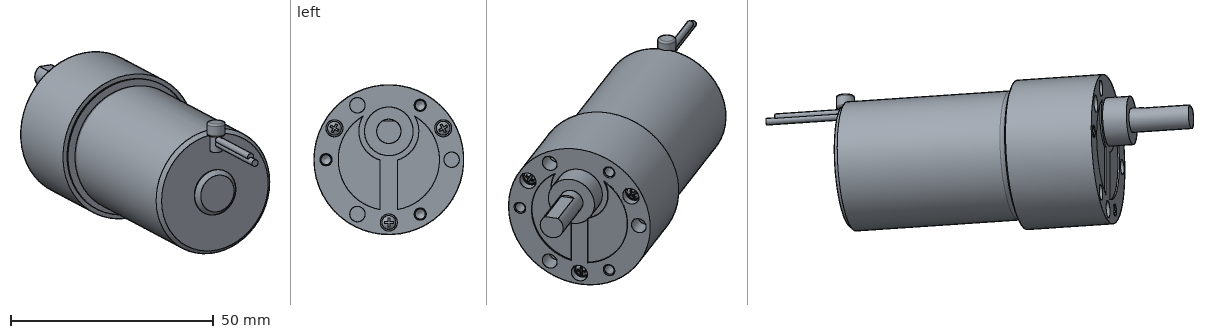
import cadquery as cq
import math

GEARBOX_RADIUS = 18.5
GEARBOX_LENGTH = 21.7
RING_RADIUS = 17.35
RING_LENGTH = 0.5
MOTOR_RADIUS = 16.0
MOTOR_LENGTH = 43.7
MOTOR_FRONT_ROUND = 1.5
MOTOR_REAR_CHAMFER = 1.0
OVERALL_LENGTH = 107.49

SHAFT_OFFSET = 7.0
SHAFT_RADIUS = 3.0
SHAFT_LENGTH = 15.0
SHAFT_FLAT_LENGTH = 12.0
SHAFT_FLAT_HEIGHT = 2.5
BOSS_RADIUS = 6.0
BOSS_LENGTH = 6.0

RECESS_RADIUS = 12.5
RECESS_DEPTH = 0.4
RECESS_LAND_RADIUS = 7.4
RECESS_RIB_WIDTH = 4.3

BOLT_CIRCLE_RADIUS = 15.5
PLAIN_HOLE_ANGLES = (60, 180, 300)
TAPPED_ANGLE_STEP = 180
SCREW_ANGLE_STEP = -30
PLAIN_HOLE_DIAMETER = 3.8
PLAIN_HOLE_DEPTH = 5.0
TAPPED_HOLE_DIAMETER = 3.0
TAPPED_BORE_DIAMETER = 2.5
TAPPED_HOLE_DEPTH = 5.0
DRILL_POINT_ANGLE = 118.0
SCREW_HOLE_DIAMETER = 4.2
SCREW_HOLE_DEPTH = 2.2
SCREW_HEAD_DIAMETER = 3.4
SCREW_HEAD_HEIGHT = 1.0
SCREW_HEAD_RIM = 0.3
CROSS_WIDTH = 0.5
CROSS_LENGTH = 2.2
CROSS_DEPTH = 0.6

COVER_RADIUS = 5.8
COVER_LENGTH = 1.3
COVER_CHAMFER = 1.1

POST_RADIUS = 1.5
POST_BOTTOM = 10.85
CAP_RADIUS = 2.25
CAP_BOTTOM = 14.9
CAP_TOP = 18.25
CAP_ROUND = 0.5
TERMINAL_PAST_MOTOR = 0.6
LEAD_RADIUS = 0.85
UPPER_LEAD_HEIGHT = 14.0
LOWER_LEAD_HEIGHT = 13.0
LEAD_STAGGER = 2.25

SHAFT_TIP = -(BOSS_LENGTH + SHAFT_LENGTH)
MOTOR_FRONT = GEARBOX_LENGTH + RING_LENGTH
MOTOR_REAR = MOTOR_FRONT + MOTOR_LENGTH
REAR_END = SHAFT_TIP + OVERALL_LENGTH


def rod(radius, start, end, y=0.0, z=0.0):
    """Cylinder parallel to X, from X = start to X = end."""
    return cq.Workplane("YZ", origin=(start, y, z)).circle(radius).extrude(end - start)


def bolt_position(angle):
    """Y and Z of a point on the bolt circle, with the angle measured from +Y toward +Z."""
    turn = math.radians(angle)
    return BOLT_CIRCLE_RADIUS * math.cos(turn), BOLT_CIRCLE_RADIUS * math.sin(turn)


def make_housing():
    gearbox = rod(GEARBOX_RADIUS, 0, GEARBOX_LENGTH)
    ring = rod(RING_RADIUS, GEARBOX_LENGTH, MOTOR_FRONT)
    motor = rod(MOTOR_RADIUS, MOTOR_FRONT, MOTOR_REAR)
    motor = motor.faces("<X").edges().fillet(MOTOR_FRONT_ROUND)
    motor = motor.faces(">X").edges().chamfer(MOTOR_REAR_CHAMFER)
    cover = rod(COVER_RADIUS, MOTOR_REAR, MOTOR_REAR + COVER_LENGTH)
    cover = cover.faces(">X").edges().chamfer(COVER_CHAMFER)
    return gearbox.union(ring).union(motor).union(cover)


def make_output_shaft():
    boss = rod(BOSS_RADIUS, -BOSS_LENGTH, 0, z=SHAFT_OFFSET)
    shaft = rod(SHAFT_RADIUS, SHAFT_TIP, -BOSS_LENGTH, z=SHAFT_OFFSET)
    flat_cut = cq.Workplane("XY", origin=(SHAFT_TIP, 0, SHAFT_OFFSET + SHAFT_FLAT_HEIGHT)).box(
        SHAFT_FLAT_LENGTH, 2 * SHAFT_RADIUS, SHAFT_RADIUS, centered=(False, True, False)
    )
    return boss.union(shaft.cut(flat_cut))


def make_face_recesses():
    disc = rod(RECESS_RADIUS, 0, RECESS_DEPTH)
    land = rod(RECESS_LAND_RADIUS, 0, RECESS_DEPTH, z=SHAFT_OFFSET)
    rib = cq.Workplane("XY", origin=(0, 0, -RECESS_RADIUS)).box(
        RECESS_DEPTH, RECESS_RIB_WIDTH, RECESS_RADIUS, centered=(False, True, False)
    )
    return disc.cut(land).cut(rib)


def make_plain_hole(angle):
    y, z = bolt_position(angle)
    return rod(PLAIN_HOLE_DIAMETER / 2, 0, PLAIN_HOLE_DEPTH, y, z)


def make_tapped_hole(angle):
    """Drilled blind bore with a pointed bottom and a chamfered mouth."""
    y, z = bolt_position(angle)
    mouth = TAPPED_HOLE_DIAMETER / 2
    bore = TAPPED_BORE_DIAMETER / 2
    point = bore / math.tan(math.radians(DRILL_POINT_ANGLE / 2))
    profile = [
        (0, 0),
        (0, mouth),
        (mouth - bore, bore),
        (TAPPED_HOLE_DEPTH, bore),
        (TAPPED_HOLE_DEPTH + point, 0),
    ]
    hole = cq.Workplane("XY").polyline(profile).close().revolve(360, (0, 0, 0), (1, 0, 0))
    return hole.translate((0, y, z))


def make_screw_pocket(angle):
    """Screw hole less the domed, cross-recessed screw head standing on its floor."""
    radius = SCREW_HEAD_DIAMETER / 2
    head_top = SCREW_HOLE_DEPTH - SCREW_HEAD_HEIGHT
    rim = SCREW_HOLE_DEPTH - SCREW_HEAD_RIM
    dome_height = SCREW_HEAD_HEIGHT - SCREW_HEAD_RIM
    dome_radius = (radius**2 + dome_height**2) / (2 * dome_height)
    half_angle = math.asin(radius / dome_radius) / 2
    dome_middle = (
        head_top + dome_radius * (1 - math.cos(half_angle)),
        dome_radius * math.sin(half_angle),
    )
    head = (
        cq.Workplane("XY")
        .moveTo(SCREW_HOLE_DEPTH, 0)
        .lineTo(head_top, 0)
        .threePointArc(dome_middle, (rim, radius))
        .lineTo(SCREW_HOLE_DEPTH, radius)
        .close()
        .revolve(360, (0, 0, 0), (1, 0, 0))
    )
    slots = cq.Workplane("YZ", origin=(head_top, 0, 0))
    slots = slots.rect(CROSS_LENGTH, CROSS_WIDTH).extrude(CROSS_DEPTH)
    cross = slots.union(slots.rotate((0, 0, 0), (1, 0, 0), 90))
    head = head.cut(cross).rotate((0, 0, 0), (1, 0, 0), angle)
    y, z = bolt_position(angle)
    return rod(SCREW_HOLE_DIAMETER / 2, 0, SCREW_HOLE_DEPTH).cut(head).translate((0, y, z))


def make_terminal():
    axis_x = MOTOR_REAR + TERMINAL_PAST_MOTOR
    post = cq.Workplane("XY", origin=(axis_x, 0, POST_BOTTOM))
    post = post.circle(POST_RADIUS).extrude(CAP_BOTTOM - POST_BOTTOM)
    cap = cq.Workplane("XY", origin=(axis_x, 0, CAP_BOTTOM))
    cap = cap.circle(CAP_RADIUS).extrude(CAP_TOP - CAP_BOTTOM).edges("%CIRCLE").fillet(CAP_ROUND)
    upper_lead = rod(LEAD_RADIUS, MOTOR_REAR, REAR_END - LEAD_STAGGER, z=UPPER_LEAD_HEIGHT)
    lower_lead = rod(LEAD_RADIUS, MOTOR_REAR, REAR_END, z=LOWER_LEAD_HEIGHT)
    return post.union(cap).union(upper_lead).union(lower_lead)


result = make_housing().union(make_output_shaft()).union(make_terminal())
result = result.cut(make_face_recesses())
for plain_angle in PLAIN_HOLE_ANGLES:
    result = result.cut(make_plain_hole(plain_angle))
    result = result.cut(make_tapped_hole(plain_angle + TAPPED_ANGLE_STEP))
    result = result.cut(make_screw_pocket(plain_angle + SCREW_ANGLE_STEP))